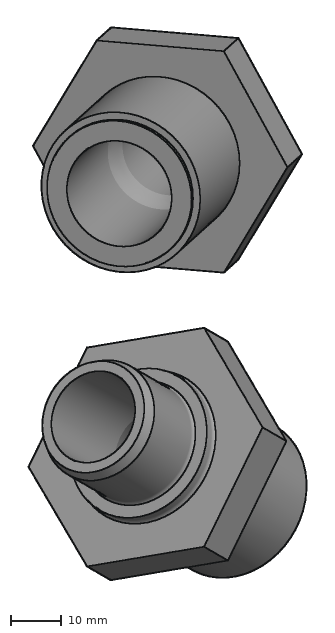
import cadquery as cq
import math

length = 60.0
nose_length = 1.0
flange_start = 28.0
flange_length = 10.0
flange_end = flange_start + flange_length
collar_end = 41.0
tip_length = 2.5

nose_diameter = 30.2
body_diameter = 33.2
flange_across_flats = 46.0
collar_diameter = 31.0
spigot_diameter = 25.0
tip_angle = 20.0
root_radius = 1.45
root_angle = 45.0

front_bore_diameter = 21.9
rear_bore_diameter = 19.0
bore_cone_angle = 15.0


def revolve_profile(points):
    """Revolve (radius, station) points around the Y axis."""
    return cq.Workplane("XY").polyline(points).close().revolve(360, (0, 0), (0, 1))


def make_body():
    """Front cylinder with a stepped nose."""
    nose_radius = nose_diameter / 2
    body_radius = body_diameter / 2
    return revolve_profile([
        (0, 0),
        (nose_radius, 0),
        (nose_radius, nose_length),
        (body_radius, nose_length),
        (body_radius, flange_end),
        (0, flange_end),
    ])


def make_flange():
    """Hexagon with two corners on the X axis."""
    across_corners = flange_across_flats / math.cos(math.radians(30))
    return (
        cq.Workplane("XZ", origin=(0, flange_start, 0))
        .polygon(6, across_corners)
        .extrude(-flange_length)
    )


def make_root(shaft_radius, shoulder):
    """Concave flare tangent to a shaft, meeting its shoulder at the root angle."""

    def arc_point(angle):
        turn = math.radians(angle)
        radius = shaft_radius + root_radius * (1 - math.cos(turn))
        station = shoulder + root_radius * (math.sin(math.radians(root_angle)) - math.sin(turn))
        return (radius, station)

    return (
        cq.Workplane("XY")
        .moveTo(0, shoulder)
        .lineTo(*arc_point(root_angle))
        .threePointArc(arc_point(root_angle / 2), arc_point(0))
        .lineTo(0, arc_point(0)[1])
        .close()
        .revolve(360, (0, 0), (0, 1))
    )


def make_spigot():
    """Rear collar and spigot with flared roots and a tapered tip."""
    collar_radius = collar_diameter / 2
    spigot_radius = spigot_diameter / 2
    tip_radius = spigot_radius - tip_length * math.tan(math.radians(tip_angle))
    cylinders = revolve_profile([
        (0, flange_end),
        (collar_radius, flange_end),
        (collar_radius, collar_end),
        (spigot_radius, collar_end),
        (spigot_radius, length - tip_length),
        (tip_radius, length),
        (0, length),
    ])
    collar_root = make_root(collar_radius, flange_end)
    spigot_root = make_root(spigot_radius, collar_end)
    return cylinders.union(collar_root).union(spigot_root)


def make_passage():
    """Stepped bore through the whole fitting, narrowing inside the flange."""
    front_radius = front_bore_diameter / 2
    rear_radius = rear_bore_diameter / 2
    cone_length = (front_radius - rear_radius) / math.tan(math.radians(bore_cone_angle))
    return revolve_profile([
        (0, 0),
        (front_radius, 0),
        (front_radius, flange_start),
        (rear_radius, flange_start + cone_length),
        (rear_radius, length),
        (0, length),
    ])


fitting = make_body().union(make_flange()).union(make_spigot()).cut(make_passage())

result = fitting.translate((0, -length / 2, 0))